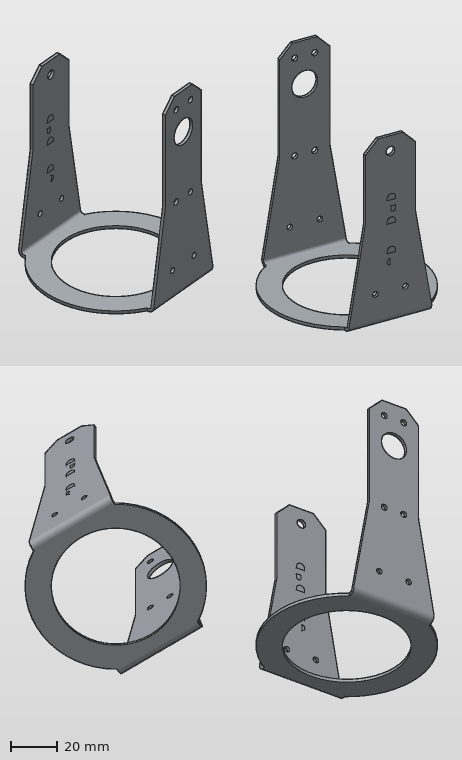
import cadquery as cq
import math

thickness = 1.6
bend_radius = 3.2
outer_length = 74.5
ring_diameter = 78.7
ring_opening = 55.9
fold_width = 41.6

plate_width = 25.4
taper_top = 51.1
corner_cut = 6.4
tall_top = 105.4
short_top = 91.5

screw_diameter = 3.0
foot_hole_diameter = 2.7
foot_hole_spacing = 15.2
foot_hole_z = 15.7
upper_hole_spacing = 10.1
top_hole_z = 97.8
middle_hole_z = 50.0
axis_z = 83.9
pivot_diameter = 4.3
opening_diameter = 13.0

bowl_width = 4.2
bowl_length = 3.1
bowl_y = -0.4
bowl_base_heights = [34.0, 48.5, 60.0]
half_disc_diameter = 3.1
half_disc_y = 0.2
half_disc_z = 29.8
hanging_bowl_width = 2.3
hanging_bowl_length = 2.7
hanging_bowl_y = -1.4
hanging_bowl_z = 56.9

half_length = outer_length / 2
fold_x = half_length - bend_radius


def floor_slab(width):
    """Flat slab between the two fold lines."""
    return cq.Workplane("XY").box(2 * fold_x, width, thickness, centered=(True, True, False))


def floor_disc(diameter):
    return cq.Workplane("XY").circle(diameter / 2).extrude(thickness)


def floor():
    """Ring trimmed at the fold lines and squared off to meet the full width of the folds."""
    trimmed_disc = floor_disc(ring_diameter).intersect(floor_slab(ring_diameter))
    return trimmed_disc.union(floor_slab(fold_width)).cut(floor_disc(ring_opening))


def fold():
    """Quarter-round fold at the -X end of the floor."""
    inner_radius = bend_radius - thickness
    diagonal = math.sqrt(0.5)
    return (
        cq.Workplane("XZ", origin=(-fold_x, fold_width / 2, bend_radius))
        .moveTo(0, -bend_radius)
        .threePointArc((-bend_radius * diagonal, -bend_radius * diagonal), (-bend_radius, 0))
        .lineTo(-inner_radius, 0)
        .threePointArc((-inner_radius * diagonal, -inner_radius * diagonal), (0, -inner_radius))
        .close()
        .extrude(fold_width)
    )


def on_plate():
    """Workplane on the outer face of the -X plate: local x is Y, local y is Z, normal is +X."""
    return cq.Workplane("YZ", origin=(-half_length, 0, 0))


def plate_holes(diameter, centres):
    return on_plate().pushPoints(centres).circle(diameter / 2).extrude(thickness)


def hole_pair(spacing, z):
    return [(-spacing / 2, z), (spacing / 2, z)]


def plate(top):
    """Plate at the -X end with its fold and its two foot holes."""
    half_outline = [
        (fold_width / 2, bend_radius),
        (plate_width / 2, taper_top),
        (plate_width / 2, top - corner_cut),
        (plate_width / 2 - corner_cut, top),
    ]
    mirrored = [(-y, z) for y, z in reversed(half_outline)]
    blank = on_plate().polyline(half_outline + mirrored).close().extrude(thickness)
    foot_holes = plate_holes(foot_hole_diameter, hole_pair(foot_hole_spacing, foot_hole_z))
    return blank.cut(foot_holes).union(fold())


def short_plate():
    return plate(short_top).cut(plate_holes(pivot_diameter, [(0, axis_z)]))


def tall_plate():
    """Tall plate, turned round to the +X end."""
    screw_centres = hole_pair(upper_hole_spacing, top_hole_z) + hole_pair(upper_hole_spacing, middle_hole_z)
    screw_holes = plate_holes(screw_diameter, screw_centres)
    opening = plate_holes(opening_diameter, [(0, axis_z)])
    return plate(tall_top).cut(screw_holes).cut(opening).rotate((0, 0, 0), (0, 0, 1), 180)


def insert(width, length, base_y, base_z, turn=0):
    """Arch as thick as the sheet, round end up, then turned by degrees about its base middle."""
    half_width = width / 2
    shoulder = length - half_width
    outline = on_plate().center(base_y, base_z).moveTo(-half_width, 0).lineTo(half_width, 0)
    if shoulder > 0:
        outline = outline.lineTo(half_width, shoulder)
    outline = outline.threePointArc((0, length), (-half_width, shoulder))
    arch = outline.close().extrude(thickness)
    return arch.rotate((0, base_y, base_z), (1, base_y, base_z), turn)


inserts = [insert(bowl_width, bowl_length, bowl_y, base_z) for base_z in bowl_base_heights]
inserts.append(insert(half_disc_diameter, half_disc_diameter / 2, half_disc_y, half_disc_z, turn=-90))
inserts.append(
    insert(hanging_bowl_width, hanging_bowl_length, hanging_bowl_y, hanging_bowl_z, turn=180)
)

bracket = floor().union(short_plate()).union(tall_plate())
for piece in inserts:
    bracket = bracket.cut(piece)

result = cq.Compound.makeCompound([bracket.solids().val(), *[piece.val() for piece in inserts]])